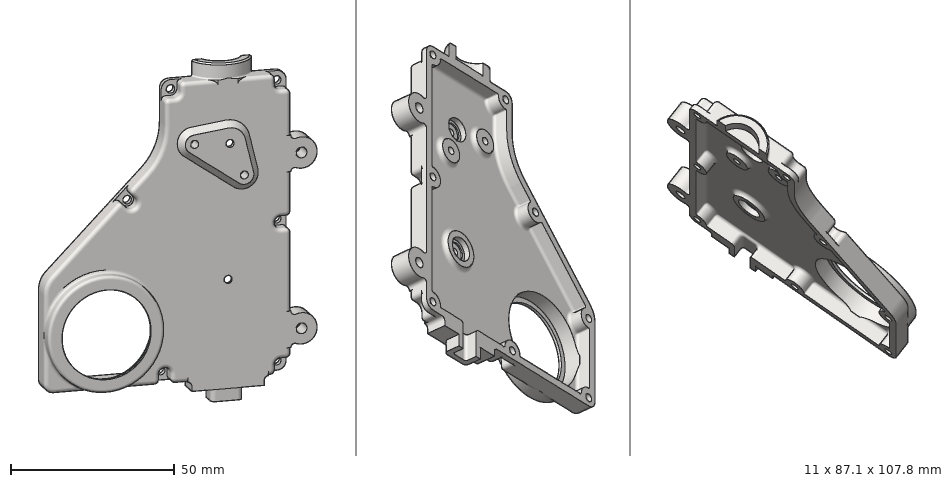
import cadquery as cq
import math


TRAY_WIDTH = 78.7
TRAY_HEIGHT = 95.35
TRAY_DEPTH = 7.0
TOP_WIDTH = 40.0
CORNER_R = 3.0
WAIST_R = 20.0
SHOULDER_R = 8.0
WAIST_START_Z = 81.7
BACK_EDGE_R = 1.35
WALL = 2.6
POCKET_DEPTH = 5.0
FLOOR_FILLET_R = 1.0

SCREW_INSET = 3.0
SCREW_D = 2.65
POST_R = 3.5
POST_ROOT_R = 0.5
NOTCH_FLOOR_X = 2.0
NOTCH_HALF_WIDTH = 2.0
NOTCH_MOUTH_R = 1.4
MID_LEFT_SCREW_Z = 48.2
MID_BOTTOM_SCREW_Y = -40.1
DIAGONAL_SCREW_Z = 58.3
SHOULDER_SCREW_Z = 31.7
BLIND_SCREW_DEPTH = 5.0

EAR_R = 5.0
EAR_HOLE_D = 3.4
EAR_CENTRE_Y = 3.39
EAR_HEIGHTS = (14.15, 70.1)
EAR_ROOT_R = 1.2

SHAFT_AXIS_Y = -20.1
BEARING_Z = 75.5
LOWER_BEARING_Z = 31.7
BOSS_POSITIONS = ((-31.4, 76.15), (-15.5, 65.1))
SHAFT_HOLE_D = 2.5
BEARING_D = 7.96
BEARING_DEPTH = 2.0
RELIEF_D = 6.0
RELIEF_DEPTH = 0.5
LOWER_BOSS_D = 12.0
BOSS_HEIGHT = 1.5

PAD_HEIGHT = 2.0
PAD_BEARING_R = 7.0
PAD_BOSS_R = 5.0
PAD_TAPER = 45.0

RING_D = 37.0
RING_SEAT_D = 32.0
RING_BORE_D = 28.5
RING_END_X = 11.0
RING_SEAT_END_X = 10.0
RING_EDGE_R = 1.0
RING_ROOT_R = 1.0

NECK_AXIS_X = -3.0
NECK_R = 10.0
NECK_BORE_R = 7.0
NECK_HEIGHT = 5.2
NECK_FLOOR_HEIGHT = 0.6
NECK_EDGE = 0.5

FLANGE_WIDTH = 23.2
FLANGE_DROP = 3.0
FLANGE_ROOT_R = 1.3
SPOUT_WIDTH = 10.0
SPOUT_DROP = 7.21
SPOUT_DEPTH = 6.0
SPOUT_EDGE_R = 1.5
GROOVE_WIDTH = 6.0
GROOVE_DEPTH = 4.2
GROOVE_FILLET_R = 1.0
GROOVE_MOUTH_R = 1.2

SIN45 = math.sqrt(0.5)
OVERLAP = 1.5
CLEARANCE = 1.0
TOLERANCE = 0.01

DIAGONAL_SUM = TOP_WIDTH + WAIST_START_Z + WAIST_R * (1 - 2 * SIN45)
SHOULDER_Z = DIAGONAL_SUM - TRAY_WIDTH
RING_Y = RING_D / 2 - TRAY_WIDTH
RING_Z = RING_D / 2

LEFT_SCREW_Y = -SCREW_INSET
RIGHT_SCREW_Y = SCREW_INSET - TRAY_WIDTH
TOP_SCREW_Z = TRAY_HEIGHT - SCREW_INSET
DIAGONAL_SCREW_Y = DIAGONAL_SCREW_Z + SCREW_INSET / SIN45 - DIAGONAL_SUM

EDGE_SCREWS = (
    (LEFT_SCREW_Y, MID_LEFT_SCREW_Z, 0),
    (MID_BOTTOM_SCREW_Y, SCREW_INSET, 270),
    (DIAGONAL_SCREW_Y, DIAGONAL_SCREW_Z, 135),
)
CORNER_SCREWS = (
    (LEFT_SCREW_Y, TOP_SCREW_Z, 0),
    (SCREW_INSET - TOP_WIDTH, TOP_SCREW_Z, 90),
    (LEFT_SCREW_Y, SCREW_INSET, 270),
)
BLIND_SCREWS = (
    (RIGHT_SCREW_Y, SHOULDER_SCREW_Z),
    (RIGHT_SCREW_Y, SCREW_INSET),
)
THROUGH_SCREWS = tuple((y, z) for y, z, _ in EDGE_SCREWS + CORNER_SCREWS)


def yz_plane(x):
    """Sketch plane at the given X; its axes are Y and Z and it extrudes to +X."""
    return cq.Workplane("YZ", origin=(x, 0, 0))


def cylinder(y, z, diameter, start, end):
    """Cylinder along X."""
    return yz_plane(start).center(y, z).circle(diameter / 2).extrude(end - start)


def block(y, width, bottom, top, depth):
    """Box from the rim plane to the given depth, centred on y."""
    return cq.Workplane("XY").box(depth, width, top - bottom, centered=(False, True, False)).translate((0, y, bottom))


def tray_prism(inset, depth):
    """Tray outline with sharp corners, shifted inwards by inset and extruded from the rim."""
    half_angle = math.radians(22.5)
    left = -inset
    right = inset - TRAY_WIDTH
    narrow = inset - TOP_WIDTH
    top = TRAY_HEIGHT - inset
    waist_r = WAIST_R + inset
    waist_y = -TOP_WIDTH - WAIST_R

    def waist_point(angle):
        return (waist_y + waist_r * math.cos(angle), WAIST_START_Z - waist_r * math.sin(angle))

    return (
        yz_plane(0)
        .moveTo(left, inset)
        .lineTo(left, top)
        .lineTo(narrow, top)
        .lineTo(narrow, WAIST_START_Z)
        .threePointArc(waist_point(half_angle), waist_point(2 * half_angle))
        .lineTo(right, SHOULDER_Z - inset * math.tan(half_angle))
        .lineTo(right, inset)
        .close()
        .extrude(depth)
    )


def edges_at(solid, points):
    """Edges of the solid that run along X through the given Y, Z points."""
    chosen = solid.edges(cq.selectors.NearestToPointSelector((TRAY_DEPTH / 2, *points[0])))
    for point in points[1:]:
        chosen = chosen.add(solid.edges(cq.selectors.NearestToPointSelector((TRAY_DEPTH / 2, *point))))
    return chosen


def tray_blank():
    """Full tray block with its outer corners rounded."""
    blank = tray_prism(0, TRAY_DEPTH)
    square_corners = [(0, 0), (0, TRAY_HEIGHT), (-TOP_WIDTH, TRAY_HEIGHT), (-TRAY_WIDTH, 0)]
    blank = edges_at(blank, square_corners).fillet(CORNER_R)
    return edges_at(blank, [(-TRAY_WIDTH, SHOULDER_Z)]).fillet(SHOULDER_R)


def arc_on_circle(sketch, centre, radius, start, end):
    """Add an arc that turns from start to end, in degrees, about the centre."""

    def point(angle):
        angle = math.radians(angle)
        return (centre[0] + radius * math.cos(angle), centre[1] + radius * math.sin(angle))

    return sketch.threePointArc(point((start + end) / 2), point(end))


def place_notch(sketch, y, z, direction):
    """Extrude a notch sketch, turn it outwards and move it to its screw."""
    notch = sketch.close().extrude(TRAY_DEPTH)
    return notch.rotate((0, 0, 0), (1, 0, 0), direction).translate((0, y, z))


def edge_notch(y, z, direction):
    """U-shaped screw head notch, open to one side, with a rounded mouth."""
    w = NOTCH_HALF_WIDTH
    r = NOTCH_MOUTH_R
    mouth = SCREW_INSET - r
    outside = SCREW_INSET + CLEARANCE
    sketch = yz_plane(NOTCH_FLOOR_X).moveTo(outside, w + r).lineTo(SCREW_INSET, w + r)
    sketch = arc_on_circle(sketch, (mouth, w + r), r, 0, -90).lineTo(0, w)
    sketch = arc_on_circle(sketch, (0, 0), w, 90, 270).lineTo(mouth, -w)
    sketch = arc_on_circle(sketch, (mouth, -w - r), r, 90, 0).lineTo(outside, -w - r)
    return place_notch(sketch, y, z, direction)


def corner_notch(y, z, direction):
    """Screw head notch that takes away a whole corner, with rounded mouths on both sides."""
    w = NOTCH_HALF_WIDTH
    r = NOTCH_MOUTH_R
    mouth = SCREW_INSET - r
    outside = SCREW_INSET + CLEARANCE
    sketch = yz_plane(NOTCH_FLOOR_X).moveTo(outside, outside).lineTo(-w - r, outside).lineTo(-w - r, SCREW_INSET)
    sketch = arc_on_circle(sketch, (-w - r, mouth), r, 90, 0).lineTo(-w, 0)
    sketch = arc_on_circle(sketch, (0, 0), w, 180, 270).lineTo(mouth, -w)
    sketch = arc_on_circle(sketch, (mouth, -w - r), r, 90, 0).lineTo(outside, -w - r)
    return place_notch(sketch, y, z, direction)


def outer_body():
    """Tray block with the screw head notches and a rounded back edge."""
    body = tray_blank()
    for screw in EDGE_SCREWS:
        body = body.cut(edge_notch(*screw))
    for screw in CORNER_SCREWS:
        body = body.cut(corner_notch(*screw))
    return body.faces(">X").edges().fillet(BACK_EDGE_R)


def ear(z):
    """Round mounting ear whose root flares into the long side of the tray."""
    reach_y = EAR_CENTRE_Y - EAR_ROOT_R
    reach_z = math.sqrt((EAR_R + EAR_ROOT_R) ** 2 - reach_y**2)
    to_ear = EAR_R / (EAR_R + EAR_ROOT_R)
    touch_y = EAR_CENTRE_Y - reach_y * to_ear
    touch_z = reach_z * to_ear
    bend = math.atan2(reach_z, reach_y)
    middle = (math.pi - bend) / 2 + bend
    middle_y = EAR_ROOT_R + EAR_ROOT_R * math.cos(middle)
    middle_z = reach_z - EAR_ROOT_R * math.sin(middle)
    return (
        yz_plane(0)
        .center(0, z)
        .moveTo(-OVERLAP, reach_z)
        .lineTo(0, reach_z)
        .threePointArc((middle_y, middle_z), (touch_y, touch_z))
        .threePointArc((EAR_CENTRE_Y + EAR_R, 0), (touch_y, -touch_z))
        .threePointArc((middle_y, -middle_z), (0, -reach_z))
        .lineTo(-OVERLAP, -reach_z)
        .close()
        .extrude(TRAY_DEPTH)
    )


def neck():
    """Half-round neck with a chamfered top and a flared root, standing on the top edge."""
    top = TRAY_HEIGHT + NECK_HEIGHT
    bend = NECK_EDGE * (1 - SIN45)
    solid = (
        cq.Workplane("XZ")
        .moveTo(0, TRAY_HEIGHT - OVERLAP)
        .lineTo(NECK_R + NECK_EDGE, TRAY_HEIGHT - OVERLAP)
        .lineTo(NECK_R + NECK_EDGE, TRAY_HEIGHT)
        .threePointArc((NECK_R + bend, TRAY_HEIGHT + bend), (NECK_R, TRAY_HEIGHT + NECK_EDGE))
        .lineTo(NECK_R, top - NECK_EDGE)
        .lineTo(NECK_R - NECK_EDGE, top)
        .lineTo(0, top)
        .close()
        .revolve(360, (0, 0, 0), (0, 1, 0))
        .translate((NECK_AXIS_X, SHAFT_AXIS_Y, 0))
    )
    limits = block(SHAFT_AXIS_Y, 3 * NECK_R, TRAY_HEIGHT - OVERLAP, top, TRAY_DEPTH)
    return solid.intersect(limits)


def neck_bore():
    """Bore of the neck, ending just above the top edge of the tray."""
    bore = cq.Workplane("XY").circle(NECK_BORE_R).extrude(NECK_HEIGHT)
    return bore.translate((NECK_AXIS_X, SHAFT_AXIS_Y, TRAY_HEIGHT + NECK_FLOOR_HEIGHT))


def flange():
    """Flat flange below the bottom edge, with rounded roots."""
    half = FLANGE_WIDTH / 2
    r = FLANGE_ROOT_R
    sketch = (
        yz_plane(0)
        .center(SHAFT_AXIS_Y, 0)
        .moveTo(-half - r, OVERLAP)
        .lineTo(-half - r, 0)
    )
    sketch = arc_on_circle(sketch, (-half - r, -r), r, 90, 0).lineTo(-half, -FLANGE_DROP).lineTo(half, -FLANGE_DROP)
    sketch = sketch.lineTo(half, -r)
    sketch = arc_on_circle(sketch, (half + r, -r), r, 180, 90).lineTo(half + r, OVERLAP)
    return sketch.close().extrude(TRAY_DEPTH)


def spout():
    """Narrow spout below the flange, rounded along its back edges."""
    solid = block(SHAFT_AXIS_Y, SPOUT_WIDTH, -SPOUT_DROP, 0, SPOUT_DEPTH)
    return solid.edges("|Z and >X").fillet(SPOUT_EDGE_R)


def cut_spout_groove(cover):
    """Cut the groove from the pocket down through the spout and round its mouth at the pocket."""
    groove = block(SHAFT_AXIS_Y, GROOVE_WIDTH, -SPOUT_DROP, WALL + FLOOR_FILLET_R, GROOVE_DEPTH)
    groove = groove.edges("|Z and >X").fillet(GROOVE_FILLET_R)
    reach = GROOVE_WIDTH / 2 + TOLERANCE
    mouth = cq.selectors.BoxSelector(
        (-TOLERANCE, SHAFT_AXIS_Y - reach, WALL - TOLERANCE),
        (GROOVE_DEPTH + TOLERANCE, SHAFT_AXIS_Y + reach, WALL + FLOOR_FILLET_R / 2),
        boundingbox=True,
    )
    return cover.cut(groove).edges(mouth).fillet(GROOVE_MOUTH_R)


def add_bearing_ring(body):
    """Add the solid ring blank and fillet its root, also where it runs onto the rounded tray edge."""
    blank = cylinder(RING_Y, RING_Z, RING_D, POCKET_DEPTH, RING_END_X).faces(">X").edges().fillet(RING_EDGE_R)
    joined = body.union(blank)

    def is_root(edge):
        ends = (edge.startPoint(), edge.endPoint())
        on_ring = all(abs(math.hypot(p.y - RING_Y, p.z - RING_Z) - RING_D / 2) < TOLERANCE for p in ends)
        at_back = TRAY_DEPTH - BACK_EDGE_R < edge.Center().x < TRAY_DEPTH + TOLERANCE
        return on_ring and at_back

    root_edges = [edge for edge in joined.edges().vals() if is_root(edge)]
    return joined.newObject(root_edges).fillet(RING_ROOT_R)


def back_pad():
    """Tapered pad: the belt-shaped outline around the three upper shafts."""
    circles = [(SHAFT_AXIS_Y, BEARING_Z, PAD_BEARING_R)]
    circles += [(y, z, PAD_BOSS_R) for y, z in BOSS_POSITIONS]

    def outward_angle(first, second):
        """Direction from both centres to their common outer tangent."""
        dy = second[0] - first[0]
        dz = second[1] - first[1]
        lean = math.asin((first[2] - second[2]) / math.hypot(dy, dz))
        return math.degrees(math.atan2(dz, dy) + lean) - 90

    angles = [outward_angle(circles[i], circles[(i + 1) % 3]) for i in range(3)]
    y, z, r = circles[0]
    start = math.radians(angles[2])
    sketch = yz_plane(TRAY_DEPTH).moveTo(y + r * math.cos(start), z + r * math.sin(start))
    for i, (y, z, r) in enumerate(circles):
        turn = (angles[i] - angles[i - 1]) % 360
        sketch = arc_on_circle(sketch, (y, z), r, angles[i] - turn, angles[i])
        y, z, r = circles[(i + 1) % 3]
        angle = math.radians(angles[i])
        if i < 2:
            sketch = sketch.lineTo(y + r * math.cos(angle), z + r * math.sin(angle))
    return sketch.close().extrude(PAD_HEIGHT, taper=PAD_TAPER)


def pocket():
    """Inside of the tray, leaving the wall and the screw posts, rounded at the floor."""
    hollow = tray_prism(WALL, POCKET_DEPTH)
    for y, z in THROUGH_SCREWS + BLIND_SCREWS:
        hollow = hollow.cut(cylinder(y, z, 2 * POST_R, 0, POCKET_DEPTH))
    for y, z in THROUGH_SCREWS + BLIND_SCREWS:
        hollow = post_roots(hollow, y, z).fillet(POST_ROOT_R)
    return hollow.faces(">X").edges().fillet(FLOOR_FILLET_R)


def post_roots(hollow, y, z):
    """Edges along X where the post at y, z meets the wall."""

    def on_post(edge):
        middle = edge.Center()
        return abs(math.hypot(middle.y - y, middle.z - z) - POST_R) < TOLERANCE

    return hollow.newObject([edge for edge in hollow.edges("|X").vals() if on_post(edge)])


def floor_boss(y, z, diameter):
    """Low round boss on the pocket floor with a concave flare around it."""
    r = diameter / 2
    h = BOSS_HEIGHT
    bend = h * (1 - SIN45)
    return (
        cq.Workplane("XY")
        .moveTo(POCKET_DEPTH - h, 0)
        .lineTo(POCKET_DEPTH - h, r)
        .threePointArc((POCKET_DEPTH - bend, r + bend), (POCKET_DEPTH, r + h))
        .lineTo(POCKET_DEPTH, 0)
        .close()
        .revolve(360, (0, 0, 0), (1, 0, 0))
        .translate((0, y, z))
    )


def bearing_seat(z, start):
    """Stepped bearing seat on the shaft axis, entered at X = start."""
    end = start + BEARING_DEPTH
    seat = cylinder(SHAFT_AXIS_Y, z, BEARING_D, start, end)
    return seat.union(cylinder(SHAFT_AXIS_Y, z, RELIEF_D, end, end + RELIEF_DEPTH))


def build_cover():
    """Join the outer shapes, hollow the tray, then add the bosses and cut the holes."""
    cover = add_bearing_ring(outer_body())
    cover = cover.union(neck()).union(flange()).union(spout())
    for z in EAR_HEIGHTS:
        cover = cover.union(ear(z))
    cover = cover.union(back_pad())

    cover = cut_spout_groove(cover.cut(pocket())).cut(neck_bore())
    for y, z in BOSS_POSITIONS:
        cover = cover.union(floor_boss(y, z, BEARING_D))
    cover = cover.union(floor_boss(SHAFT_AXIS_Y, LOWER_BEARING_Z, LOWER_BOSS_D))

    cover = cover.cut(bearing_seat(BEARING_Z, POCKET_DEPTH))
    cover = cover.cut(bearing_seat(LOWER_BEARING_Z, POCKET_DEPTH - BOSS_HEIGHT))
    for y, z in BOSS_POSITIONS + ((SHAFT_AXIS_Y, BEARING_Z), (SHAFT_AXIS_Y, LOWER_BEARING_Z)):
        cover = cover.cut(cylinder(y, z, SHAFT_HOLE_D, 0, RING_END_X))

    cover = cover.cut(cylinder(RING_Y, RING_Z, RING_SEAT_D, POCKET_DEPTH - FLOOR_FILLET_R, RING_SEAT_END_X))
    cover = cover.cut(cylinder(RING_Y, RING_Z, RING_BORE_D, RING_SEAT_END_X, RING_END_X))

    for y, z in THROUGH_SCREWS:
        cover = cover.cut(cylinder(y, z, SCREW_D, 0, TRAY_DEPTH))
    for y, z in BLIND_SCREWS:
        cover = cover.cut(cylinder(y, z, SCREW_D, 0, BLIND_SCREW_DEPTH))
    for z in EAR_HEIGHTS:
        cover = cover.cut(cylinder(EAR_CENTRE_Y, z, EAR_HOLE_D, 0, TRAY_DEPTH))
    return cover


result = build_cover()